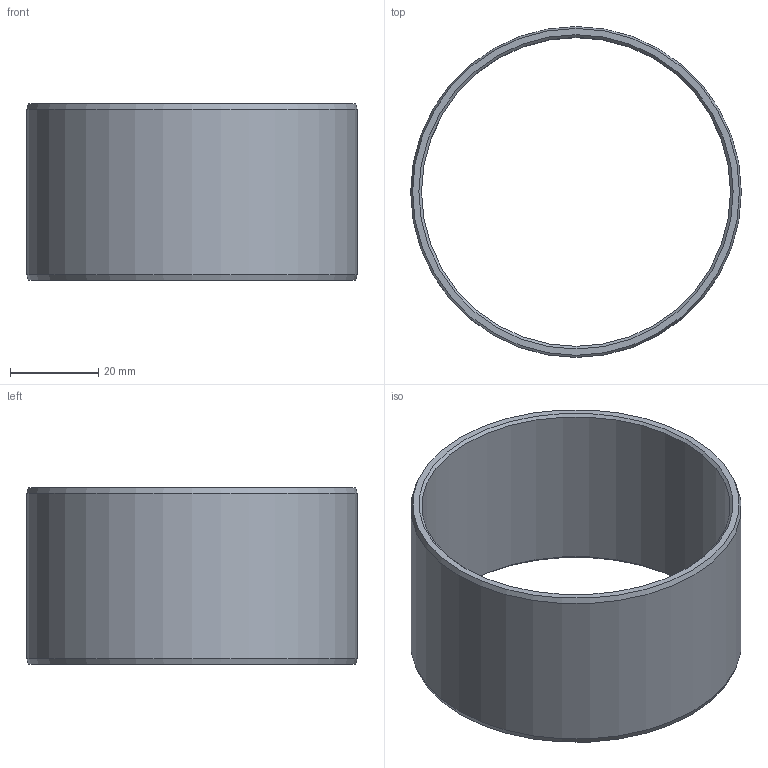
import cadquery as cq
import math

outer_diameter = 75.0
wall_thickness = 2.46
length = 40.0

outer_chamfer_length = 1.2
outer_chamfer_angle = 20.0
inner_chamfer_length = 0.6
inner_chamfer_angle = 45.0

outer_radius = outer_diameter / 2
bore_radius = outer_radius - wall_thickness
half_length = length / 2


def chamfer_depth(axial_length, angle):
    """Radial depth of a chamfer from its axial length and angle to the axis."""
    return axial_length * math.tan(math.radians(angle))


def wall_section():
    """Chamfered wall section in the XZ plane, with the bushing axis on Z."""
    outer_rim = outer_radius - chamfer_depth(outer_chamfer_length, outer_chamfer_angle)
    inner_rim = bore_radius + chamfer_depth(inner_chamfer_length, inner_chamfer_angle)
    outer_shoulder = half_length - outer_chamfer_length
    inner_shoulder = half_length - inner_chamfer_length
    upper_half = [
        (outer_radius, outer_shoulder),
        (outer_rim, half_length),
        (inner_rim, half_length),
        (bore_radius, inner_shoulder),
    ]
    lower_half = [(radius, -height) for radius, height in reversed(upper_half)]
    return cq.Workplane("XZ").polyline(upper_half + lower_half).close()


result = wall_section().revolve(360, (0, 0), (0, 1))